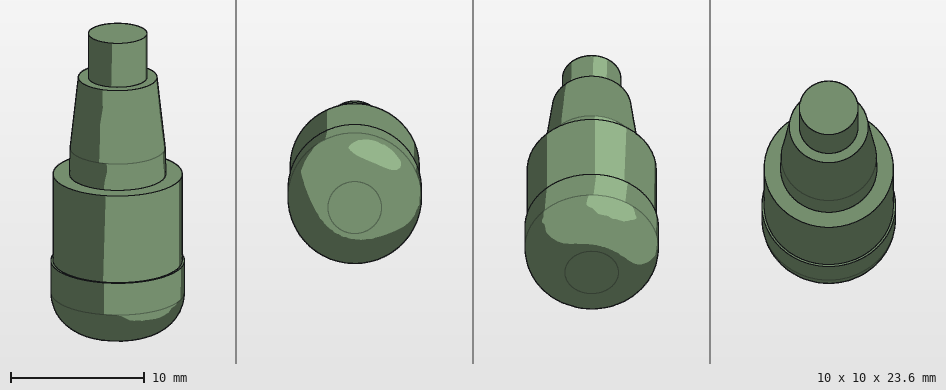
import cadquery as cq

cap_top = 5.52
barrel_top = 12.41
collar_top = 14.5
taper_top = 20.1
total_height = 23.6

cap_radius = 5.0
barrel_radius = 4.84
collar_base_radius = 3.6
collar_top_radius = 3.56
taper_tip_radius = 2.95
stem_radius = 2.2
cap_rounding = 3.0


def make_cap():
    """Cylindrical cap with a rounded lower rim."""
    return cq.Workplane("XY").circle(cap_radius).extrude(cap_top).faces("<Z").edges().fillet(cap_rounding)


def make_plug():
    """Barrel, slightly tapered collar, tapered sleeve and stem, turned about Z and standing on the cap."""
    profile = [
        (0, cap_top),
        (barrel_radius, cap_top),
        (barrel_radius, barrel_top),
        (collar_base_radius, barrel_top),
        (collar_top_radius, collar_top),
        (taper_tip_radius, taper_top),
        (stem_radius, taper_top),
        (stem_radius, total_height),
        (0, total_height),
    ]
    return cq.Workplane("XZ").polyline(profile).close().revolve(360, (0, 0), (0, 1))


cap = make_cap()
plug = make_plug()

result = cq.Compound.makeCompound([cap.val(), plug.val()])